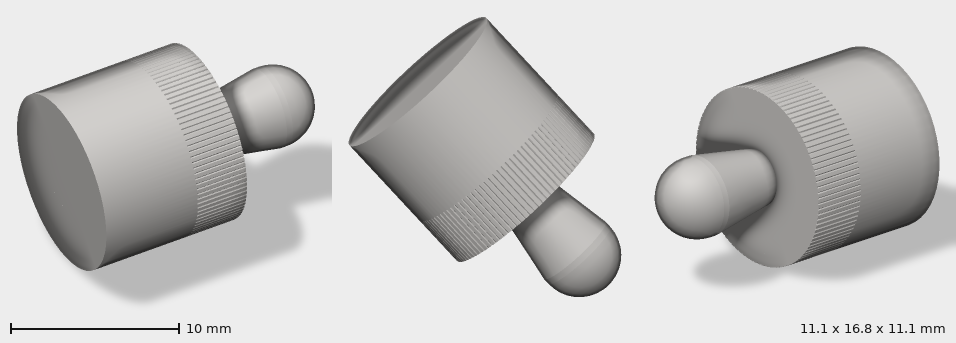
import cadquery as cq
import math

TOTAL_LENGTH = 16.77

HOUSING_RADIUS = 5.55
HOUSING_LENGTH = 9.51
KNURL_LENGTH = 3.34
GROOVE_COUNT = 100
GROOVE_WIDTH = 0.12

INSERT_RADIUS = 4.73

SHANK_RADIUS = 1.76
BALL_RADIUS = 2.5
BAND_LENGTH = 0.4

GROOVE_DEPTH = GROOVE_WIDTH / 2
KNURL_START = HOUSING_LENGTH - KNURL_LENGTH
BALL_CENTRE = TOTAL_LENGTH - BALL_RADIUS
BAND_START = BALL_CENTRE - BAND_LENGTH


def ring(outer_radius, inner_radius, length):
    """Tube along +Y from the front face."""
    return (
        cq.Workplane("XZ")
        .circle(outer_radius)
        .circle(inner_radius)
        .extrude(-length)
    )


def make_knurl_cutter():
    """V grooves spread evenly round the housing, the first centred on +Z."""
    overshoot = GROOVE_DEPTH
    half_opening = GROOVE_WIDTH / 2 + overshoot
    root_radius = HOUSING_RADIUS - GROOVE_DEPTH
    opening_radius = HOUSING_RADIUS + overshoot
    groove = (
        cq.Workplane("XZ", origin=(0, KNURL_START, 0))
        .moveTo(0, root_radius)
        .lineTo(half_opening, opening_radius)
        .lineTo(-half_opening, opening_radius)
        .close()
        .extrude(-KNURL_LENGTH)
        .val()
    )
    pitch_angle = 360 / GROOVE_COUNT
    grooves = []
    for i in range(GROOVE_COUNT):
        grooves.append(groove.rotate((0, 0, 0), (0, 1, 0), i * pitch_angle))
    return cq.Compound.makeCompound(grooves)


def make_housing():
    sleeve = ring(HOUSING_RADIUS, INSERT_RADIUS, HOUSING_LENGTH)
    return sleeve.cut(cq.Workplane(make_knurl_cutter()))


def make_insert():
    return ring(INSERT_RADIUS, SHANK_RADIUS, HOUSING_LENGTH)


def make_lever():
    """Half profile in the XY plane, turned about the Y axis."""
    arc_offset = BALL_RADIUS * math.sqrt(0.5)
    return (
        cq.Workplane("XY")
        .moveTo(0, 0)
        .lineTo(SHANK_RADIUS, 0)
        .lineTo(SHANK_RADIUS, HOUSING_LENGTH)
        .lineTo(BALL_RADIUS, BAND_START)
        .lineTo(BALL_RADIUS, BALL_CENTRE)
        .threePointArc((arc_offset, BALL_CENTRE + arc_offset), (0, TOTAL_LENGTH))
        .close()
        .revolve(360, (0, 0, 0), (0, 1, 0))
    )


housing = make_housing()
insert = make_insert()
lever = make_lever()

result = cq.Compound.makeCompound([housing.val(), insert.val(), lever.val()])